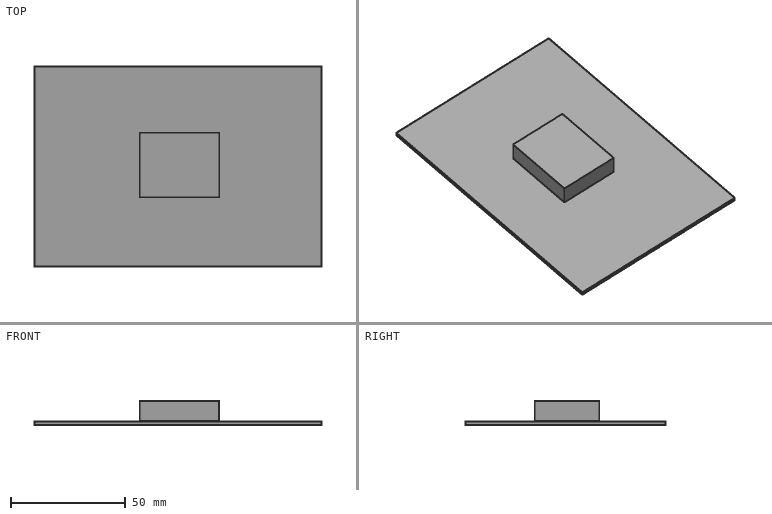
import cadquery as cq

plate_length = 125.73
plate_width = 87.63
plate_thickness = 1.6

overall_height = 10.6
block_length = 34.7
block_width = 28.35
block_center_x = 0.6
block_center_y = 0.7
block_clearance = 0.1
block_bottom = plate_thickness + block_clearance
block_height = overall_height - block_bottom


def make_slab(length, width, height):
    """Rectangular solid centred in X and Y, with its bottom on Z = 0."""
    return cq.Workplane("XY").box(length, width, height, centered=(True, True, False))


def make_plate():
    return make_slab(plate_length, plate_width, plate_thickness)


def make_block():
    slab = make_slab(block_length, block_width, block_height)
    return slab.translate((block_center_x, block_center_y, block_bottom))


plate = make_plate()
block = make_block()

result = cq.Compound.makeCompound([plate.val(), block.val()])